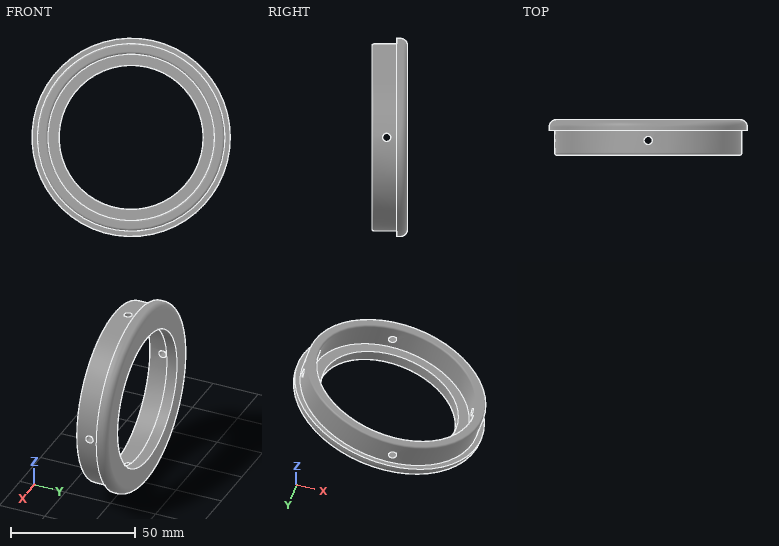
import cadquery as cq

flange_radius = 40.0
sleeve_radius = 37.8
pocket_radius = 33.5
bore_radius = 29.0
total_depth = 14.5
flange_thickness = 4.5
flange_round = 3.0
lip_thickness = 4.5
rim_round = 1.0
pin_hole_diameter = 3.2
pin_hole_from_rim = 6.0

rim_y = -total_depth / 2
back_y = total_depth / 2


def disc(radius, start_y, length):
    """Solid disc about the Y axis, growing toward +Y from start_y."""
    plane = cq.Workplane("XZ", origin=(0, start_y, 0))
    return plane.circle(radius).extrude(-length)


def pin_holes():
    """Two crossing drills that make four radial holes through the sleeve."""
    reach = flange_radius
    center = (0, rim_y + pin_hole_from_rim, 0)
    pin_radius = pin_hole_diameter / 2
    upright_drill = cq.Workplane("XY", origin=center).circle(pin_radius).extrude(reach, both=True)
    side_drill = cq.Workplane("YZ", origin=center).circle(pin_radius).extrude(reach, both=True)
    return upright_drill.union(side_drill)


flange = disc(flange_radius, back_y - flange_thickness, flange_thickness)
flange = flange.faces(">Y").edges().fillet(flange_round)

sleeve = disc(sleeve_radius, rim_y, total_depth - flange_round)
pocket = disc(pocket_radius, rim_y, total_depth - lip_thickness)
body = flange.union(sleeve).cut(pocket)
body = body.faces("<Y").edges().fillet(rim_round)

bore = disc(bore_radius, rim_y, total_depth)
result = body.cut(bore).cut(pin_holes())